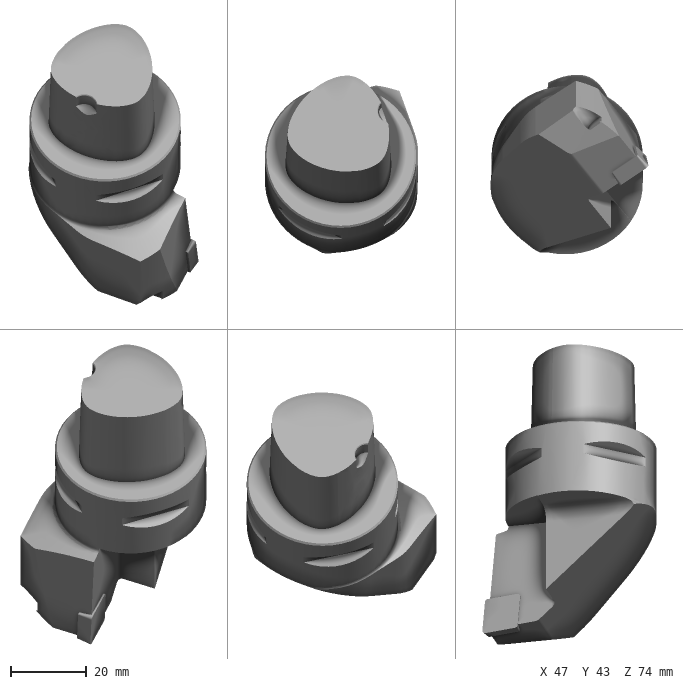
import cadquery as cq
import math


OVERALL_WIDTH = 47.0
OVERALL_DEPTH = 43.0
OVERALL_HEIGHT = 74

SHANK_LENGTH = 24.0
SHANK_BASE_DIAMETER = 28.05
SHANK_TOP_DIAMETER = 26.85
LOBE_HEIGHT = 0.95
LOBE_COUNT = 3
SPLINE_STEPS = 6

NOTCH_RADIUS = 3.3
NOTCH_CHAMFER = 0.2
NOTCH_AXIS_Y = -13.9
NOTCH_DEPTH = 4.1
NOTCH_CONE_ANGLE = 41

FLANGE_DIAMETER = 40.0
FLANGE_RADIUS = FLANGE_DIAMETER / 2
FLANGE_HEIGHT = 20.0
FLANGE_CHAMFER = 0.45

GROOVE_COUNT = 4
GROOVE_FIRST_AZIMUTH = 45
GROOVE_CENTER_Z = -8.1
GROOVE_FLOOR_DISTANCE = 17.6
GROOVE_FLOOR_WIDTH = 2.5
GROOVE_WALL_ANGLE = 30

BLOCK_RADIUS = 20.3
BLOCK_FRONT_Y = FLANGE_RADIUS - OVERALL_DEPTH
FRONT_START_X = 6.95
FRONT_END_X = 20.3
BLEND_RADIUS = 16.8
BLEND_ANGLE = 20.5
SIDE_MIDDLE = (23.8, -16.9)
SIDE_END = (25.8, -10.9)

SHOULDER_SLOPE = 15
SHOULDER_ROOT_Z = -21.1
SHOULDER_FILLET = 1.0

BLOCK_CORNER_X = 25.75
BLOCK_CORNER_Z = -48.9
SLANT_START_Z = -19.4
SLANT_ANGLE = 41.5
LEAD_ANGLE = 5
HEEL_RADIUS = 2.0

UNDERSIDE_START_Z = -44.1
UNDERSIDE_MIDDLE = (-14.65, -47.65)
UNDERSIDE_END = (-11.25, -49.0)

NECK_BACK_Y = 9.9
NECK_FILLET = 3.3
UNDERCUT_ANGLE = 4.5
POCKET_FLOOR_Y = -0.5
POCKET_WALL_X = 6.95
POCKET_FILLET = 1.1

INSERT_INSCRIBED_DIAMETER = 9.55
INSERT_THICKNESS = 4.1
INSERT_POINT_ANGLE = 80
INSERT_CLEARANCE = 7
INSERT_TURN = 45
INSERT_NOSE_RADIUS = 0.8
INSERT_MAX_X = OVERALL_WIDTH - FLANGE_RADIUS
INSERT_MIN_Z = SHANK_LENGTH - OVERALL_HEIGHT

SCREW_RECESS_DIAMETER = 5.25
SCREW_RECESS_FLOOR_Y = -16.6

HALF_POINT = math.radians(INSERT_POINT_ANGLE / 2)
LONG_HALF_DIAGONAL = INSERT_INSCRIBED_DIAMETER / 2 / math.sin(HALF_POINT)
SHORT_HALF_DIAGONAL = INSERT_INSCRIBED_DIAMETER / 2 / math.cos(HALF_POINT)
NOSE_SETBACK = (LONG_HALF_DIAGONAL - INSERT_NOSE_RADIUS / math.sin(HALF_POINT)) / math.sqrt(2)
INSERT_X = INSERT_MAX_X - INSERT_NOSE_RADIUS - NOSE_SETBACK
INSERT_Z = INSERT_MIN_Z + INSERT_NOSE_RADIUS + NOSE_SETBACK

CLEAR = 74


def tan_deg(angle):
    return math.tan(math.radians(angle))


def sin_deg(angle):
    return math.sin(math.radians(angle))


def cos_deg(angle):
    return math.cos(math.radians(angle))


def lobed_point(diameter, angle, z):
    """Point of the lobed outline whose outward normal has the given angle; one lobe lies on +Y."""
    lobe_phase = math.radians(LOBE_COUNT * (angle - 90))
    distance = diameter / 2 + LOBE_HEIGHT * math.cos(lobe_phase)
    shift = -LOBE_COUNT * LOBE_HEIGHT * math.sin(lobe_phase)
    x = distance * cos_deg(angle) - shift * sin_deg(angle)
    y = distance * sin_deg(angle) + shift * cos_deg(angle)
    return cq.Vector(x, y, z)


def lobed_wire(diameter, z):
    """Closed outline of alternating lobes and flanks, tangent where they meet."""
    span = 180 / LOBE_COUNT
    edges = []
    for segment in range(2 * LOBE_COUNT):
        start = segment * span
        angles = [start + span * step / SPLINE_STEPS for step in range(SPLINE_STEPS + 1)]
        points = [lobed_point(diameter, angle, z) for angle in angles]
        tangents = [cq.Vector(-sin_deg(a), cos_deg(a), 0) for a in (angles[0], angles[-1])]
        edges.append(cq.Edge.makeSpline(points, tangents=tangents))
    return cq.Wire.assembleEdges(edges)


def make_shank():
    base = lobed_wire(SHANK_BASE_DIAMETER, 0)
    top = lobed_wire(SHANK_TOP_DIAMETER, SHANK_LENGTH)
    return cq.Workplane(obj=cq.Solid.makeLoft([base, top]))


def make_notch():
    """Round notch, chamfered at the shank top and ending in a drill point."""
    rim_z = SHANK_LENGTH - NOTCH_DEPTH
    point_z = rim_z - NOTCH_RADIUS * tan_deg(NOTCH_CONE_ANGLE)
    profile = [
        (0, point_z),
        (NOTCH_RADIUS, rim_z),
        (NOTCH_RADIUS, SHANK_LENGTH - NOTCH_CHAMFER),
        (NOTCH_RADIUS + NOTCH_CHAMFER, SHANK_LENGTH),
        (0, SHANK_LENGTH),
    ]
    notch = cq.Workplane("XZ").polyline(profile).close().revolve(360, (0, 0), (0, 1))
    return notch.translate((0, NOTCH_AXIS_Y, 0))


def make_flange():
    flange = cq.Workplane("XY").circle(FLANGE_RADIUS).extrude(-FLANGE_HEIGHT)
    return flange.faces(">Z").chamfer(FLANGE_CHAMFER)


def make_groove(azimuth):
    """Straight groove with sloping walls, cut across the flange rim facing the given azimuth."""
    half_floor = GROOVE_FLOOR_WIDTH / 2
    reach = FLANGE_RADIUS + 0.75
    half_mouth = half_floor + (reach - GROOVE_FLOOR_DISTANCE) * tan_deg(GROOVE_WALL_ANGLE)
    profile = [
        (GROOVE_FLOOR_DISTANCE, GROOVE_CENTER_Z - half_floor),
        (reach, GROOVE_CENTER_Z - half_mouth),
        (reach, GROOVE_CENTER_Z + half_mouth),
        (GROOVE_FLOOR_DISTANCE, GROOVE_CENTER_Z + half_floor),
    ]
    groove = cq.Workplane("XZ").polyline(profile).close().extrude(FLANGE_RADIUS, both=True)
    return groove.rotate((0, 0, 0), (0, 0, 1), azimuth)


def make_block_prism():
    """Vertical prism of the block, wrapped round the flange axis on its left side."""
    drop = BLEND_RADIUS * (1 - cos_deg(BLEND_ANGLE))
    blend_start = (FRONT_START_X - BLEND_RADIUS * sin_deg(BLEND_ANGLE), BLOCK_FRONT_Y + drop)
    blend_middle = (
        FRONT_START_X - BLEND_RADIUS * sin_deg(BLEND_ANGLE / 2),
        BLOCK_FRONT_Y + BLEND_RADIUS * (1 - cos_deg(BLEND_ANGLE / 2)),
    )
    wrap_end = (-BLOCK_RADIUS * sin_deg(BLEND_ANGLE), -BLOCK_RADIUS * cos_deg(BLEND_ANGLE))
    return (
        cq.Workplane("XY")
        .moveTo(0, BLOCK_RADIUS)
        .threePointArc((-BLOCK_RADIUS, 0), wrap_end)
        .lineTo(*blend_start)
        .threePointArc(blend_middle, (FRONT_START_X, BLOCK_FRONT_Y))
        .lineTo(FRONT_END_X, BLOCK_FRONT_Y)
        .threePointArc(SIDE_MIDDLE, SIDE_END)
        .lineTo(SIDE_END[0], BLOCK_RADIUS)
        .close()
        .extrude(-CLEAR)
    )


def make_shoulder_envelope():
    """Turned envelope: flange cylinder, fillet, then a cone falling outwards over the block."""
    setback = SHOULDER_FILLET * tan_deg((90 - SHOULDER_SLOPE) / 2)
    fillet_top = SHOULDER_ROOT_Z + setback
    fillet_center = (FLANGE_RADIUS + SHOULDER_FILLET, fillet_top)
    middle_angle = (90 - SHOULDER_SLOPE) / 2
    fillet_middle = (
        fillet_center[0] - SHOULDER_FILLET * cos_deg(middle_angle),
        fillet_center[1] - SHOULDER_FILLET * sin_deg(middle_angle),
    )
    fillet_end = (
        FLANGE_RADIUS + setback * cos_deg(SHOULDER_SLOPE),
        SHOULDER_ROOT_Z - setback * sin_deg(SHOULDER_SLOPE),
    )
    rim_z = SHOULDER_ROOT_Z - (CLEAR - FLANGE_RADIUS) * tan_deg(SHOULDER_SLOPE)
    return (
        cq.Workplane("XZ")
        .moveTo(0, -FLANGE_HEIGHT / 2)
        .lineTo(FLANGE_RADIUS, -FLANGE_HEIGHT / 2)
        .lineTo(FLANGE_RADIUS, fillet_top)
        .threePointArc(fillet_middle, fillet_end)
        .lineTo(CLEAR, rim_z)
        .lineTo(CLEAR, -CLEAR)
        .lineTo(0, -CLEAR)
        .close()
        .revolve(360, (0, 0), (0, 1))
    )


def make_side_envelope():
    """Prism along Y bounded by the slanted back, the rounded heel and the two tilted cutting sides."""
    slope = tan_deg(SLANT_ANGLE)
    tilt = tan_deg(LEAD_ANGLE)
    slant_at_axis = SLANT_START_Z - FLANGE_RADIUS * slope
    bottom_at_axis = BLOCK_CORNER_Z + BLOCK_CORNER_X * tilt
    heel_x = (slant_at_axis - bottom_at_axis) / (slope - tilt)
    heel_z = bottom_at_axis - heel_x * tilt
    left_x = -BLOCK_RADIUS - 0.75
    outline = [
        (left_x, 0),
        (left_x, slant_at_axis - left_x * slope),
        (heel_x, heel_z),
        (BLOCK_CORNER_X, BLOCK_CORNER_Z),
        (BLOCK_CORNER_X + BLOCK_CORNER_Z * tilt, 0),
    ]
    envelope = cq.Workplane("XZ").polyline(outline).close().extrude(CLEAR, both=True)
    heel = cq.selectors.NearestToPointSelector((heel_x, 0, heel_z))
    return envelope.edges("|Y").edges(heel).fillet(HEEL_RADIUS)


def make_underside_cutter():
    """Material below the arched underside, which rises towards the front face."""
    return (
        cq.Workplane("YZ")
        .moveTo(BLOCK_FRONT_Y, UNDERSIDE_START_Z)
        .threePointArc(UNDERSIDE_MIDDLE, UNDERSIDE_END)
        .lineTo(UNDERSIDE_END[0], -CLEAR)
        .lineTo(BLOCK_FRONT_Y, -CLEAR)
        .close()
        .extrude(CLEAR, both=True)
    )


def make_neck_relief():
    """Relief behind the neck, with a slightly sloping roof blended into the neck's back face."""
    roof_drop = (FLANGE_RADIUS - NECK_BACK_Y) * tan_deg(UNDERCUT_ANGLE)
    rise = CLEAR * tan_deg(UNDERCUT_ANGLE)
    profile = [
        (NECK_BACK_Y, -FLANGE_HEIGHT - roof_drop),
        (NECK_BACK_Y + CLEAR, -FLANGE_HEIGHT - roof_drop + rise),
        (NECK_BACK_Y + CLEAR, -CLEAR),
        (NECK_BACK_Y, -CLEAR),
    ]
    relief = cq.Workplane("YZ").polyline(profile).close().extrude(CLEAR, both=True)
    return relief.edges("|X").edges("<Y").edges(">Z").fillet(NECK_FILLET)


def make_chip_pocket():
    """Open corner above the insert, with a rounded foot between its wall and floor."""
    pocket = cq.Workplane("XY").box(CLEAR, CLEAR, CLEAR, centered=False)
    pocket = pocket.edges("|Z").edges("<X").edges("<Y").fillet(POCKET_FILLET)
    return pocket.translate((POCKET_WALL_X, POCKET_FLOOR_Y, -FLANGE_HEIGHT - CLEAR))


def make_screw_recess():
    """Round recess in the front of the block, in line with the insert centre."""
    recess = cq.Workplane("XZ").center(INSERT_X, INSERT_Z).circle(SCREW_RECESS_DIAMETER / 2).extrude(CLEAR)
    return recess.translate((0, SCREW_RECESS_FLOOR_Y, 0))


def make_insert():
    """Rhombic insert with its top face at Y = 0 and walls drawn in by the clearance angle."""
    outline = [
        (LONG_HALF_DIAGONAL, 0),
        (0, SHORT_HALF_DIAGONAL),
        (-LONG_HALF_DIAGONAL, 0),
        (0, -SHORT_HALF_DIAGONAL),
    ]
    sketch = cq.Sketch().polygon(outline + outline[:1]).vertices().fillet(INSERT_NOSE_RADIUS)
    insert = cq.Workplane("XZ").placeSketch(sketch).extrude(INSERT_THICKNESS, taper=INSERT_CLEARANCE)
    insert = insert.rotate((0, 0, 0), (0, 1, 0), INSERT_TURN)
    return insert.translate((INSERT_X, 0, INSERT_Z))


def make_holder(insert):
    block = make_block_prism().intersect(make_shoulder_envelope())
    lower = make_flange().union(block)
    lower = lower.intersect(make_side_envelope())
    lower = lower.cut(make_underside_cutter())
    lower = lower.cut(make_neck_relief())
    lower = lower.cut(make_chip_pocket())
    lower = lower.cut(make_screw_recess())
    for index in range(GROOVE_COUNT):
        lower = lower.cut(make_groove(GROOVE_FIRST_AZIMUTH + index * 360 / GROOVE_COUNT))
    shank = make_shank().cut(make_notch())
    return lower.union(shank).cut(insert)


insert = make_insert()
holder = make_holder(insert)

result = cq.Compound.makeCompound([holder.val(), insert.val()])